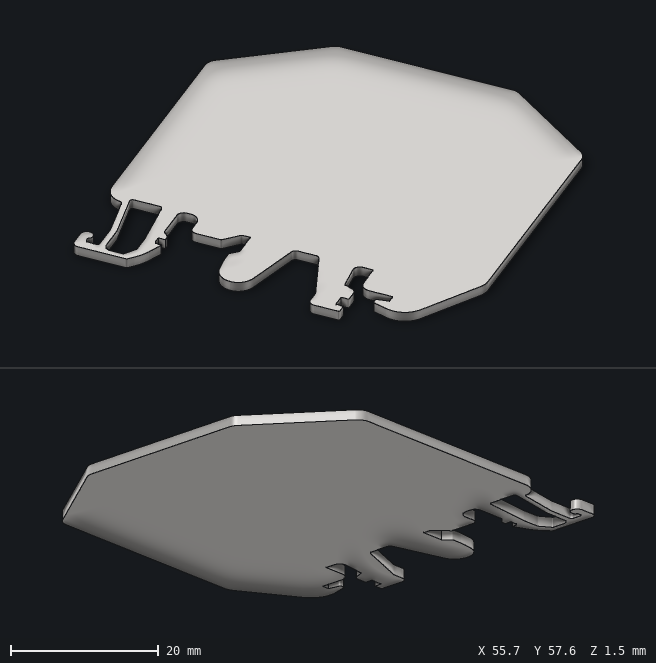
import cadquery as cq
import math


width = 55.7
height = 57.65
thickness = 1.5
half_width = width / 2
top_half_width = 13.3
shoulder_y = 47.35
plate_round = 2.0
left_side_bottom = 12.5
left_bottom_round = 2.9
right_side_bottom = 13.95
right_side_round = 3.0

sharp = 0
tiny_round = 0.2
small_round = 0.4
foot_round = 1.0

slot_roof = 13.2
arm_top_x = -25.1
arm_top_y = 12.05
arm_bottom_x = -23.9
arm_bend_y = 5.5
arm_thickness = 1.0
hook_left = -27.25
hook_neck = -25.9
hook_tip_right = -25.4
hook_top = 3.9
hook_tip_round = 0.8
hook_neck_y = 2.35
hook_tip_bottom = 2.7
hook_floor = 1.55
sole_right = -19.1
toe_x = -17.45
toe_y = 1.75
toe_round = 6.9
post_right = -17.0
post_notch_x = -17.2
post_tooth_x = -16.15
post_notch_bottom = 4.95
post_notch_top = 6.3
post_tooth_top = 7.05
post_ramp_top = 7.95
toe_end_y = 4.8
window_floor = 1.0
window_left_top = -24.3
window_right_top = -19.6
window_right_bottom = -18.8
window_right_bend_y = 5.35
window_cut_x = -20.0
window_cut_y = 2.7

block_left = -13.9
block_right = -9.15
block_bottom = 9.3
block_left_round = 1.5
ramp_top_x = -7.1
ramp_top_y = 11.4

tongue_neck_x = -5.8
tongue_left = -7.0
tongue_neck_y = 7.85
tongue_ledge_y = 6.75
tongue_bend_y = 5.2
tongue_bottom = 0.75
tongue_end_left = -6.45
tongue_end_right = -2.1
tongue_round = 2.65

leg_roof = 11.0
leg_gap_left = 0.8
leg_gap_right = 4.5
leg_gap_round = 0.7
leg_left = 7.55
leg_bend_y = 2.8
leg_bottom = 0.2
leg_right = 12.3
leg_notch_x = 11.1
leg_notch_bottom = 1.55
leg_notch_top = 3.35
leg_shoulder_y = 5.6
leg_neck_bottom_x = 10.4
leg_neck_bottom_y = 6.3
leg_neck_top_x = 9.85

claw_wall_x = 12.5
claw_roof = 6.3
claw_wall_round = 1.5
claw_throat_x = 17.45
claw_throat_y = 5.15
claw_tip_x = 15.55
claw_tip_top = 4.8
claw_tip_bottom = 4.0
claw_heel_x = 20.65
claw_heel_y = 2.55
claw_heel_round = 4.0


def rounded_prism(corners):
    """Extrude a closed outline of (x, y, corner radius) points to the plate thickness."""
    outline = None
    for i, (x, y, radius) in enumerate(corners):
        corner = cq.Vector(x, y)
        before = cq.Vector(*corners[i - 1][:2])
        after = cq.Vector(*corners[(i + 1) % len(corners)][:2])
        to_before = (before - corner).normalized()
        to_after = (after - corner).normalized()
        half_angle = to_before.getAngle(to_after) / 2
        tangent_length = radius / math.tan(half_angle)
        start = corner + to_before * tangent_length
        if outline is None:
            outline = cq.Workplane("XY").moveTo(start.x, start.y)
        else:
            outline = outline.lineTo(start.x, start.y)
        if radius > 0:
            end = corner + to_after * tangent_length
            middle_distance = radius / math.sin(half_angle) - radius
            middle = corner + (to_before + to_after).normalized() * middle_distance
            outline = outline.threePointArc((middle.x, middle.y), (end.x, end.y))
    return outline.close().extrude(thickness)


def plate_top():
    """Right side, sloping shoulders, top edge and left side, counterclockwise."""
    return [
        (half_width, right_side_bottom, right_side_round),
        (half_width, shoulder_y, plate_round),
        (top_half_width, height, plate_round),
        (-top_half_width, height, plate_round),
        (-half_width, shoulder_y, plate_round),
        (-half_width, left_side_bottom, left_bottom_round),
    ]


def left_foot():
    """Spring arm, curled hook, sole, toe and toothed post."""
    return [
        (arm_top_x, arm_top_y, small_round),
        (arm_bottom_x, arm_bend_y, sharp),
        (arm_bottom_x, hook_floor, small_round),
        (hook_neck, hook_floor, small_round),
        (hook_neck, hook_neck_y, tiny_round),
        (hook_tip_right, hook_tip_bottom, small_round),
        (hook_tip_right, hook_top, hook_tip_round),
        (hook_left, hook_top, foot_round),
        (hook_left, 0, foot_round),
        (sole_right, 0, small_round),
        (toe_x, toe_y, toe_round),
        (post_tooth_x, toe_end_y, sharp),
        (post_tooth_x, post_notch_bottom, sharp),
        (post_notch_x, post_notch_bottom, small_round),
        (post_notch_x, post_notch_top, sharp),
        (post_tooth_x, post_notch_top, sharp),
        (post_tooth_x, post_tooth_top, small_round),
        (post_right, post_ramp_top, sharp),
        (post_right, slot_roof, foot_round),
    ]


def block_and_tongue():
    """Ramped block followed by the round-ended tongue."""
    return [
        (block_left, slot_roof, block_left_round),
        (block_left, block_bottom, foot_round),
        (block_right, block_bottom, small_round),
        (ramp_top_x, ramp_top_y, small_round),
        (tongue_neck_x, ramp_top_y, sharp),
        (tongue_neck_x, tongue_neck_y, sharp),
        (tongue_left, tongue_ledge_y, small_round),
        (tongue_left, tongue_bend_y, sharp),
        (tongue_end_left, tongue_bottom, tongue_round),
        (tongue_end_right, tongue_bottom, tongue_round),
    ]


def right_leg():
    """Tapered leg with a stepped, notched right side."""
    return [
        (leg_gap_left, leg_roof, leg_gap_round),
        (leg_gap_right, leg_roof, leg_gap_round),
        (leg_left, leg_bend_y, foot_round),
        (leg_left, leg_bottom, foot_round),
        (leg_right, leg_bottom, tiny_round),
        (leg_right, leg_notch_bottom, sharp),
        (leg_notch_x, leg_notch_bottom, sharp),
        (leg_notch_x, leg_notch_top, sharp),
        (leg_right, leg_notch_top, tiny_round),
        (leg_right, leg_shoulder_y, foot_round),
        (leg_neck_bottom_x, leg_neck_bottom_y, tiny_round),
        (leg_neck_top_x, leg_roof, foot_round),
    ]


def claw():
    """Claw reaching back towards the leg, with a rounded heel."""
    return [
        (claw_wall_x, leg_roof, sharp),
        (claw_wall_x, claw_roof, claw_wall_round),
        (claw_throat_x, claw_roof, sharp),
        (claw_throat_x, claw_throat_y, sharp),
        (claw_tip_x, claw_tip_top, small_round),
        (claw_tip_x, claw_tip_bottom, small_round),
        (claw_heel_x, claw_heel_y, claw_heel_round),
    ]


def foot_window():
    """Opening between the spring arm and the post."""
    window_left_bottom = arm_bottom_x + arm_thickness
    return [
        (window_left_top, slot_roof, small_round),
        (window_left_bottom, arm_bend_y, sharp),
        (window_left_bottom, window_floor, foot_round),
        (window_cut_x, window_floor, tiny_round),
        (window_right_bottom, window_cut_y, tiny_round),
        (window_right_bottom, window_right_bend_y, sharp),
        (window_right_top, slot_roof, small_round),
    ]


plate = rounded_prism(plate_top() + left_foot() + block_and_tongue() + right_leg() + claw())
result = plate.cut(rounded_prism(foot_window()))